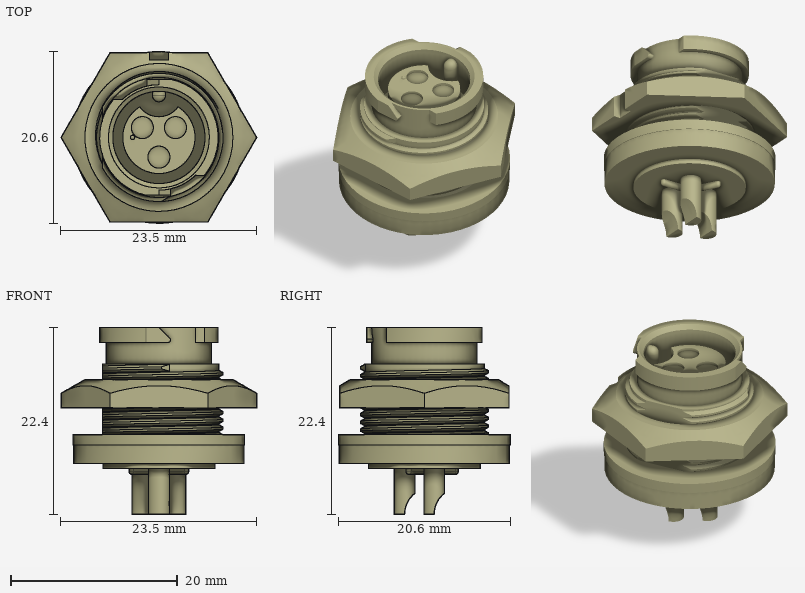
import cadquery as cq
import math

RIM_TOP = 12.85
COLLAR_BOTTOM = 11.03
NECK_BOTTOM = 8.49
WASHER_BOTTOM = -1.23
FLANGE_BOTTOM = -3.48
BASE_BOTTOM = -4.07
TAIL_END = -9.58

WASHER_RADIUS = 10.31
FLANGE_RADIUS = 10.22
BASE_RADIUS = 6.73
NECK_RADIUS = 6.32
SOCKET_RADIUS = 5.53
SOCKET_CHAMFER = 0.52
SOCKET_FLOOR = 7.5

THREAD_CREST_RADIUS = 7.69
THREAD_ROOT_RADIUS = 7.2
THREAD_PITCH = 0.93
THREAD_CREST_WIDTH = 0.25
THREAD_FLANK_ANGLE = 30
THREAD_TURNS = 9.5
THREAD_END_ANGLE = -75
THREAD_END_HEIGHT = 8.03
THREAD_EMBED = 0.08
RUNOUT_START = (1.2, -7.14)
RUNOUT_ANGLE = 31
FLAT_DISTANCE = 6.77

COLLAR_RADIUS = 7.1
COLLAR_FLAT_DISTANCE = 6.93
COLLAR_GAP_EDGE = 4.56
HOOK_REACH = 1.4
HOOK_CORNER_RADIUS = 0.35

KEY_RADIUS = 0.785
KEY_OFFSET = 5.05
KEY_ROUND_CENTRE = 11.1

INSERT_RADIUS = 4.33
INSERT_TOP = 10.9
INSERT_NOTCH_RADIUS = 2.8
INSERT_NOTCH_OFFSET = 5.28
CONTACT_POSITIONS = ((1.985, 1.18), (-1.985, 1.18), (0, -2.36))
CONTACT_HOLE_RADIUS = 1.32
CONTACT_HOLE_DEPTH = 0.4
MARK_RADIUS = 0.265
MARK_OFFSET = 3.155

TAIL_RADIUS = 1.255
TAIL_SCOOP_RADIUS = 3.25
ARM_RADIUS = 0.35
ARM_LENGTH = 3.73
ARM_ANGLES = (90, 210, 330)

NUT_BOTTOM = 3.2
NUT_TOP = 6.6
NUT_CORNER_DIAMETER = 23.46
NUT_BORE_RADIUS = 7.48
NUT_THREAD_RADIUS = 7.91
NUT_THREAD_ROOT_WIDTH = 0.1
NUT_THREAD_TURNS = 5.5
NUT_FACE_RADIUS = 8.87
NUT_CHAMFER_ANGLE = 30
NUT_NOTCH_WIDTH = 2.28
NUT_NOTCH_FLOOR = 9.28

CLEARANCE = 5.0


def cylinder(radius, bottom, top, x=0.0, y=0.0):
    return cq.Workplane("XY", origin=(x, y, bottom)).circle(radius).extrude(top - bottom)


def sphere(radius, x, y, z):
    return cq.Workplane("XY").sphere(radius).translate((x, y, z))


def box(x_range, y_range, z_range):
    lengths = [high - low for low, high in (x_range, y_range, z_range)]
    corner = (x_range[0], y_range[0], z_range[0])
    return cq.Workplane("XY").box(*lengths, centered=False).translate(corner)


def make_shell():
    """Turned shell with its open socket, as one revolved half section."""
    half_section = [
        (0, BASE_BOTTOM),
        (BASE_RADIUS, BASE_BOTTOM),
        (BASE_RADIUS, FLANGE_BOTTOM),
        (FLANGE_RADIUS, FLANGE_BOTTOM),
        (FLANGE_RADIUS, WASHER_BOTTOM),
        (THREAD_ROOT_RADIUS, WASHER_BOTTOM),
        (THREAD_ROOT_RADIUS, NECK_BOTTOM),
        (NECK_RADIUS, NECK_BOTTOM),
        (NECK_RADIUS, RIM_TOP),
        (SOCKET_RADIUS + SOCKET_CHAMFER, RIM_TOP),
        (SOCKET_RADIUS, RIM_TOP - SOCKET_CHAMFER),
        (SOCKET_RADIUS, SOCKET_FLOOR),
        (0, SOCKET_FLOOR),
    ]
    section_on_minus_y = [(-radius, height) for radius, height in half_section]
    turned = cq.Workplane("YZ").polyline(section_on_minus_y).close().revolve(360, (0, 0), (0, 1))
    seat_ring = cylinder(WASHER_RADIUS, WASHER_BOTTOM, 0)
    return turned.union(seat_ring.rotate((0, 0, 0), (0, 0, 1), 180))


def make_ridge(inner_radius, crest_radius, crest_width, turns, top):
    """Right-handed helical ridge, used as the connector thread and to cut the nut thread.

    The middle of the ridge ends at the height `top`, at the angle THREAD_END_ANGLE.
    """
    height = turns * THREAD_PITCH
    half_crest = crest_width / 2
    flank_rise = (crest_radius - inner_radius) * math.tan(math.radians(THREAD_FLANK_ANGLE))
    half_base = half_crest + flank_rise
    helix = cq.Wire.makeHelix(THREAD_PITCH, height, THREAD_ROOT_RADIUS)
    ridge = (
        cq.Workplane("XZ")
        .moveTo(inner_radius, -half_base)
        .lineTo(crest_radius, -half_crest)
        .lineTo(crest_radius, half_crest)
        .lineTo(inner_radius, half_base)
        .close()
        .sweep(cq.Workplane(helix), isFrenet=True)
    )
    start_angle = THREAD_END_ANGLE - 360 * turns
    ridge = ridge.rotate((0, 0, 0), (0, 0, 1), start_angle)
    return ridge.translate((0, 0, top - height))


def make_thread():
    """Connector thread, whose upper end runs out along a slanted face."""
    ridge = make_ridge(
        THREAD_ROOT_RADIUS - THREAD_EMBED,
        THREAD_CREST_RADIUS,
        THREAD_CREST_WIDTH,
        THREAD_TURNS,
        THREAD_END_HEIGHT,
    )
    runout_bottom = THREAD_END_HEIGHT - THREAD_PITCH / 2
    runout = box((-CLEARANCE / 2, CLEARANCE), (-CLEARANCE, 0), (runout_bottom, RIM_TOP))
    runout = runout.rotate((0, 0, 0), (0, 0, 1), RUNOUT_ANGLE)
    return ridge.cut(runout.translate((*RUNOUT_START, 0)))


def make_collar():
    """Bayonet collar: a ring interrupted by two gaps, each with a hooked end."""
    reach = COLLAR_RADIUS + CLEARANCE
    ring = cylinder(COLLAR_RADIUS, COLLAR_BOTTOM, RIM_TOP).cut(
        cylinder(NECK_RADIUS, COLLAR_BOTTOM, RIM_TOP)
    )
    ring = ring.intersect(
        box((-reach, reach), (-COLLAR_FLAT_DISTANCE, COLLAR_FLAT_DISTANCE), (COLLAR_BOTTOM, RIM_TOP))
    )
    corner_start = COLLAR_BOTTOM + HOOK_CORNER_RADIUS
    gap = (
        cq.Workplane("XZ", origin=(0, -COLLAR_GAP_EDGE, 0))
        .moveTo(0, RIM_TOP)
        .lineTo(HOOK_REACH, RIM_TOP - HOOK_REACH)
        .lineTo(HOOK_REACH, corner_start)
        .radiusArc((HOOK_REACH - HOOK_CORNER_RADIUS, COLLAR_BOTTOM), HOOK_CORNER_RADIUS)
        .lineTo(reach, COLLAR_BOTTOM)
        .lineTo(reach, RIM_TOP)
        .close()
        .extrude(CLEARANCE)
    )
    for turn in (0, 180):
        ring = ring.cut(gap.rotate((0, 0, 0), (0, 0, 1), turn))
    return ring


def make_key():
    """Upright key on the socket wall with a rounded nose and a rounded top."""
    wall = (SOCKET_RADIUS + NECK_RADIUS) / 2
    nose = cylinder(KEY_RADIUS, SOCKET_FLOOR, KEY_ROUND_CENTRE, y=KEY_OFFSET)
    dome = sphere(KEY_RADIUS, 0, KEY_OFFSET, KEY_ROUND_CENTRE)
    web = box((-KEY_RADIUS, KEY_RADIUS), (KEY_OFFSET, wall), (SOCKET_FLOOR, KEY_ROUND_CENTRE))
    ridge = (
        cq.Workplane("XZ", origin=(0, KEY_OFFSET, KEY_ROUND_CENTRE))
        .circle(KEY_RADIUS)
        .extrude(KEY_OFFSET - wall)
    )
    return nose.union(dome).union(web).union(ridge)


def make_insert():
    """Contact insert standing in the socket, with contact holes and a marker bead."""
    insert = cylinder(INSERT_RADIUS, SOCKET_FLOOR, INSERT_TOP)
    insert = insert.cut(
        cylinder(INSERT_NOTCH_RADIUS, SOCKET_FLOOR, INSERT_TOP, y=INSERT_NOTCH_OFFSET)
    )
    insert = insert.union(sphere(MARK_RADIUS, -MARK_OFFSET, 0, INSERT_TOP))
    for x, y in CONTACT_POSITIONS:
        insert = insert.cut(
            cylinder(CONTACT_HOLE_RADIUS, INSERT_TOP - CONTACT_HOLE_DEPTH, INSERT_TOP + CLEARANCE, x, y)
        )
    return insert


def make_tail(x, y):
    """Solder tail whose +Y half is scooped away towards its end."""
    scoop = (
        cq.Workplane("YZ", origin=(x - TAIL_SCOOP_RADIUS, y + TAIL_SCOOP_RADIUS, TAIL_END))
        .circle(TAIL_SCOOP_RADIUS)
        .extrude(2 * TAIL_SCOOP_RADIUS)
    )
    return cylinder(TAIL_RADIUS, TAIL_END, BASE_BOTTOM, x, y).cut(scoop)


def make_arm(angle):
    """One arm of the separator under the base, round along its lower edge and end."""
    centre = BASE_BOTTOM - ARM_RADIUS
    web = box((0, ARM_LENGTH), (-ARM_RADIUS, ARM_RADIUS), (centre, BASE_BOTTOM))
    end = cylinder(ARM_RADIUS, centre, BASE_BOTTOM, x=ARM_LENGTH)
    edge = cq.Workplane("YZ", origin=(0, 0, centre)).circle(ARM_RADIUS).extrude(ARM_LENGTH)
    arm = web.union(end).union(edge).union(sphere(ARM_RADIUS, ARM_LENGTH, 0, centre))
    return arm.rotate((0, 0, 0), (0, 0, 1), angle)


def make_connector():
    flat = box(
        (-THREAD_CREST_RADIUS - CLEARANCE, -FLAT_DISTANCE),
        (-COLLAR_RADIUS, COLLAR_RADIUS),
        (0, NECK_BOTTOM),
    )
    connector = make_shell().union(make_thread()).cut(flat)
    for feature in (make_collar(), make_key(), make_insert()):
        connector = connector.union(feature)
    for x, y in CONTACT_POSITIONS:
        connector = connector.union(make_tail(x, y))
    for angle in ARM_ANGLES:
        connector = connector.union(make_arm(angle))
    return connector


def make_nut():
    """Hexagon nut, chamfered on top and notched at +Y, with a threaded bore."""
    corner_radius = NUT_CORNER_DIAMETER / 2
    hexagon = (
        cq.Workplane("XY", origin=(0, 0, NUT_BOTTOM))
        .polygon(6, NUT_CORNER_DIAMETER)
        .extrude(NUT_TOP - NUT_BOTTOM)
    )
    chamfer_drop = (corner_radius - NUT_FACE_RADIUS) * math.tan(math.radians(NUT_CHAMFER_ANGLE))
    envelope = (
        cq.Workplane("XZ")
        .moveTo(0, NUT_BOTTOM)
        .lineTo(corner_radius, NUT_BOTTOM)
        .lineTo(corner_radius, NUT_TOP - chamfer_drop)
        .lineTo(NUT_FACE_RADIUS, NUT_TOP)
        .lineTo(0, NUT_TOP)
        .close()
        .revolve(360, (0, 0), (0, 1))
    )
    notch = box(
        (-NUT_NOTCH_WIDTH / 2, NUT_NOTCH_WIDTH / 2),
        (NUT_NOTCH_FLOOR, corner_radius),
        (NUT_BOTTOM, NUT_TOP),
    )
    bore = cylinder(NUT_BORE_RADIUS, NUT_BOTTOM, NUT_TOP)
    groove = make_ridge(
        NUT_BORE_RADIUS - THREAD_EMBED,
        NUT_THREAD_RADIUS,
        NUT_THREAD_ROOT_WIDTH,
        NUT_THREAD_TURNS,
        THREAD_END_HEIGHT - THREAD_PITCH,
    )
    return hexagon.intersect(envelope).cut(bore).cut(notch).cut(groove)


connector = make_connector()
nut = make_nut()

result = cq.Compound.makeCompound([connector.solids().val(), nut.solids().val()])